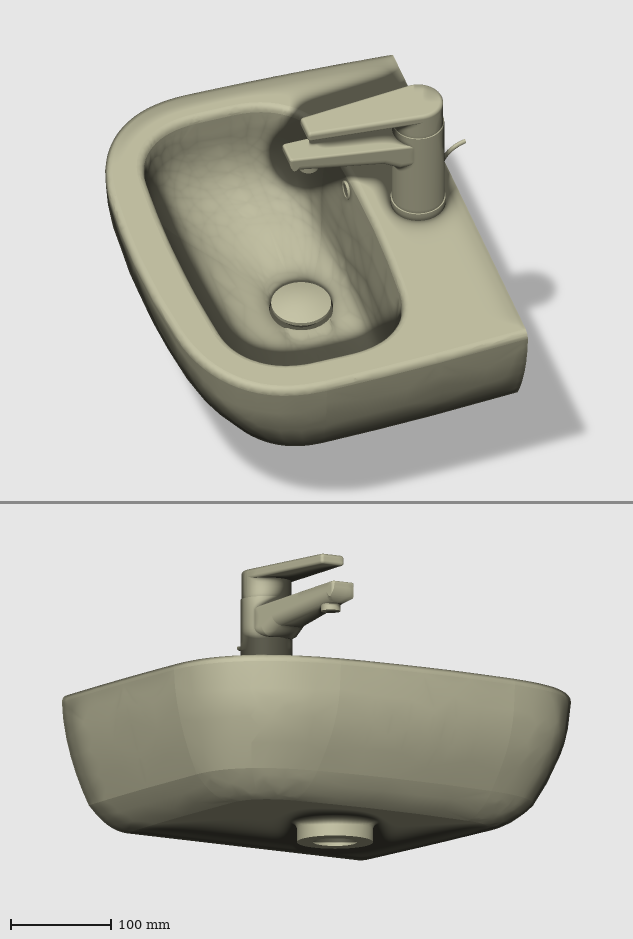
import cadquery as cq
import math


OUTER_UPPER = [
    (0, 225, 339.5),
    (-24.8, 223.5, 338.0),
    (-48.5, 218.5, 334.0),
    (-80.5, 207.5, 319.0),
    (-109.0, 193.0, 297),
]
OUTER_LOWER = [
    OUTER_UPPER[-1],
    (-123.8, 175.5, 280.0),
    (-131.0, 159.8, 264.0),
    (-132.8, 148.5, 254.2),
]
BASIN_BOTTOM = OUTER_LOWER[-1][0]
OUTER_SEAM_X = 104.5
FRONT_SAG = 6.0
SIDE_TAPER = 9.0
SIDE_BOW_RATIO = 0.3
SIDE_LENGTH = 214.0
SIDE_SHORTENING = 10.5
RIM_RADIUS = 7.0
CORNER_FULLNESS = 0.713

BOWL_SECTIONS = [
    (0, 185.5, 95.5, 297),
    (-27, 185.5, 98.5, 294.8),
    (-54, 182.5, 101.5, 285.8),
    (-81, 166.5, 106.5, 261),
    (-96.8, 135, 114.5, 234),
    (-106.0, 81, 132.5, 207),
    (-109.0, 31.5, 141.8, 190.5),
]
BOWL_FLOOR = BOWL_SECTIONS[-1][0]
BOWL_SEAM_RATIO = 0.62
BOWL_FLAT_RATIO = 0.18
BOWL_SAG_RATIO = 0.027

DRAIN_Y = -166.5
DRAIN_PIPE_DIA = 76.0
DRAIN_PIPE_BOTTOM = -152.5
DRAIN_PIPE_FILLET = 6.8
DRAIN_RECESS_DIA = 64.0
DRAIN_RECESS_DEPTH = 5.5
DRAIN_BORE_DIA = 44.0
STOPPER_DIA = 60.0
STOPPER_EDGE_Z = -101.2
STOPPER_EDGE_HEIGHT = 3.5
STOPPER_CROWN = 5.5
STOPPER_STEM_BOTTOM = -132.8

OVERFLOW_X = -59.5
OVERFLOW_Z = -20.2
OVERFLOW_FLANGE_DIA = 20.0
OVERFLOW_TUBE_DIA = 16.0
OVERFLOW_BORE_DIA = 15.0
OVERFLOW_FACE_Y = -101.0
OVERFLOW_FLANGE_BACK_Y = -96.0
OVERFLOW_TUBE_BACK_Y = -81

TAP_Y = -43.5
BASE_DIA = 55.0
BASE_HEIGHT = 9.0
BODY_DIA = 52.0
BODY_TOP = 110.2
HANDLE_DIA = 50.0
HANDLE_TOP = 139.5
LEVER_THICKNESS = 10.5
LEVER_END_Y = -163.5
LEVER_END_HALF_WIDTH = 13.5
LEVER_CORNER_RADIUS = 3.0
LEVER_UPPER_EDGE = 3.5
LEVER_LOWER_EDGE = 2.5

SPOUT_TOP_ROOT_Z = 98.5
SPOUT_TIP_Y = -182.5
SPOUT_TIP_Z = 109.5
SPOUT_ROOT_HALF_WIDTH = 24.0
SPOUT_TIP_HALF_WIDTH = 13.0
SPOUT_TIP_LOWER = (-182.2, 103.5)
SPOUT_NOSE = (-179.0, 94.5)
SPOUT_BELLY_FRONT = (-171, 89.0)
SPOUT_BELLY_BACK = (-86.0, 78.0)
SPOUT_ELBOW = (-69.5, 69.0)
SPOUT_CORNER_RADIUS = 3.5
SPOUT_BELLY_RADIUS = 10.0
SPOUT_BELLY_DEPTH = 6.8
SPOUT_TOP_EDGE = 2.2
AERATOR_DIA = 20.0
AERATOR_Y = -159.0
AERATOR_BOTTOM = 82.5
AERATOR_TOP = 92.2

ROD_DIA = 4.5
ROD_TIP = (6.0, 69.0)
ROD_BEND = (-11.0, 60.0)
ROD_END = (-21.0, 33.8)


def corner_middle(start, end, centre):
    """Point halfway round a rounded quarter that runs from start to end."""
    reach_x = abs(start[0] - centre[0]) + abs(end[0] - centre[0])
    reach_y = abs(start[1] - centre[1]) + abs(end[1] - centre[1])
    sign_x = math.copysign(1, start[0] + end[0] - 2 * centre[0])
    sign_y = math.copysign(1, start[1] + end[1] - 2 * centre[1])
    middle_x = centre[0] + sign_x * reach_x * CORNER_FULLNESS
    middle_y = centre[1] + sign_y * reach_y * CORNER_FULLNESS
    return (middle_x, middle_y)


def rounded_corner(outline, start, end, centre, tangents):
    """Continue the outline round one corner."""
    middle = corner_middle(start, end, centre)
    return outline.spline([start, middle, end], tangents=tangents)


def outer_section(level, half_width, front):
    """Closed outline of the basin's outside at one level."""
    side_length = SIDE_LENGTH - SIDE_SHORTENING * (level / BASIN_BOTTOM) ** 2
    back_x = half_width - SIDE_TAPER
    side_x = half_width - SIDE_BOW_RATIO * SIDE_TAPER
    corner_y = FRONT_SAG - front
    slope = 2 * FRONT_SAG / OUTER_SEAM_X
    right_side = (half_width, -side_length)
    right_front = (OUTER_SEAM_X, corner_y)
    left_front = (-OUTER_SEAM_X, corner_y)
    left_side = (-half_width, -side_length)
    outline = cq.Workplane("XY", origin=(0, 0, level)).moveTo(-back_x, 0).lineTo(back_x, 0)
    outline = outline.threePointArc((side_x, -side_length / 2), right_side)
    outline = rounded_corner(
        outline, right_side, right_front, (OUTER_SEAM_X, -side_length), [(0, -1), (-1, -slope)]
    )
    outline = outline.threePointArc((0, -front), left_front)
    outline = rounded_corner(
        outline, left_front, left_side, (-OUTER_SEAM_X, -side_length), [(-1, slope), (0, 1)]
    )
    return outline.threePointArc((-side_x, -side_length / 2), (-back_x, 0)).close().val()


def bowl_section(level, half_width, back, front):
    """Closed outline of the bowl at one level."""
    seam_x = BOWL_SEAM_RATIO * half_width
    sag = BOWL_SAG_RATIO * half_width
    slope = 2 * sag / seam_x
    middle_y = -(back + front) / 2
    flat = BOWL_FLAT_RATIO * (front - back) / 2
    back_y = -back - sag
    front_y = -front + sag
    outline = cq.Workplane("XY", origin=(0, 0, level)).moveTo(-seam_x, back_y)
    outline = outline.threePointArc((0, -back), (seam_x, back_y))
    outline = rounded_corner(
        outline, (seam_x, back_y), (half_width, middle_y + flat), (seam_x, middle_y + flat),
        [(1, -slope), (0, -1)],
    )
    outline = outline.lineTo(half_width, middle_y - flat)
    outline = rounded_corner(
        outline, (half_width, middle_y - flat), (seam_x, front_y), (seam_x, middle_y - flat),
        [(0, -1), (-1, -slope)],
    )
    outline = outline.threePointArc((0, -front), (-seam_x, front_y))
    outline = rounded_corner(
        outline, (-seam_x, front_y), (-half_width, middle_y - flat), (-seam_x, middle_y - flat),
        [(-1, slope), (0, 1)],
    )
    outline = outline.lineTo(-half_width, middle_y + flat)
    outline = rounded_corner(
        outline, (-half_width, middle_y + flat), (-seam_x, back_y), (-seam_x, middle_y + flat),
        [(0, 1), (1, slope)],
    )
    return outline.close().val()


def loft(sections):
    """Smooth solid through a stack of closed outlines."""
    return cq.Workplane(cq.Solid.makeLoft(sections))


def cylinder(diameter, y, bottom, top):
    """Upright cylinder on the X = 0 plane."""
    return cq.Workplane("XY", origin=(0, y, bottom)).circle(diameter / 2).extrude(top - bottom)


def wall_cylinder(diameter, front_y, back_y):
    """Cylinder through the back of the bowl, on the axis of the overflow."""
    plane = cq.Workplane("XZ", origin=(OVERFLOW_X, back_y, OVERFLOW_Z))
    return plane.circle(diameter / 2).extrude(back_y - front_y)


def make_overflow_ring():
    """Flanged sleeve set into the back of the bowl."""
    flange = wall_cylinder(OVERFLOW_FLANGE_DIA, OVERFLOW_FACE_Y, OVERFLOW_FLANGE_BACK_Y)
    tube = wall_cylinder(OVERFLOW_TUBE_DIA, OVERFLOW_FLANGE_BACK_Y, OVERFLOW_TUBE_BACK_Y)
    bore = wall_cylinder(OVERFLOW_BORE_DIA, OVERFLOW_FACE_Y, OVERFLOW_TUBE_BACK_Y)
    return flange.union(tube).cut(bore)


def make_basin(overflow_ring):
    """Basin with its bowl, drain pipe, and the seat of the overflow ring."""
    upper = loft([outer_section(*section) for section in OUTER_UPPER])
    lower = loft([outer_section(*section) for section in OUTER_LOWER])
    upper = upper.faces(">Z").edges("not >Y").fillet(RIM_RADIUS)
    pipe = cylinder(DRAIN_PIPE_DIA, DRAIN_Y, DRAIN_PIPE_BOTTOM, BASIN_BOTTOM)
    basin = upper.union(lower).union(pipe)
    pipe_root = (0, DRAIN_Y, BASIN_BOTTOM)
    basin = basin.edges(cq.NearestToPointSelector(pipe_root)).fillet(DRAIN_PIPE_FILLET)
    basin = basin.cut(loft([bowl_section(*section) for section in BOWL_SECTIONS]))
    bowl_back = (0, -BOWL_SECTIONS[0][2], 0)
    basin = basin.edges(cq.NearestToPointSelector(bowl_back)).fillet(RIM_RADIUS)
    recess = cylinder(DRAIN_RECESS_DIA, DRAIN_Y, BOWL_FLOOR - DRAIN_RECESS_DEPTH, STOPPER_EDGE_Z)
    bore = cylinder(DRAIN_BORE_DIA, DRAIN_Y, DRAIN_PIPE_BOTTOM, BOWL_FLOOR)
    return basin.cut(recess).cut(bore).cut(overflow_ring)


def make_stopper():
    """Domed head on a stem that fills the drain bore."""
    radius = STOPPER_DIA / 2
    underside = STOPPER_EDGE_Z - STOPPER_EDGE_HEIGHT
    crown_radius = (radius**2 + STOPPER_CROWN**2) / (2 * STOPPER_CROWN)
    middle_x = radius / 2
    middle_drop = crown_radius - math.sqrt(crown_radius**2 - middle_x**2)
    crown_z = STOPPER_EDGE_Z + STOPPER_CROWN
    profile = (
        cq.Workplane("XZ", origin=(0, DRAIN_Y, 0))
        .moveTo(0, STOPPER_STEM_BOTTOM)
        .lineTo(DRAIN_BORE_DIA / 2, STOPPER_STEM_BOTTOM)
        .lineTo(DRAIN_BORE_DIA / 2, underside)
        .lineTo(radius, underside)
        .lineTo(radius, STOPPER_EDGE_Z)
        .threePointArc((middle_x, crown_z - middle_drop), (0, crown_z))
        .close()
    )
    return profile.revolve(360, (0, 0, 0), (0, 1, 0))


def make_tap_base():
    """Round plate between the basin and the tap body."""
    return cylinder(BASE_DIA, TAP_Y, 0, BASE_HEIGHT)


def spout_top(y):
    """Height of the spout's sloping top face at a given Y."""
    return SPOUT_TOP_ROOT_Z + (SPOUT_TIP_Z - SPOUT_TOP_ROOT_Z) * (y - TAP_Y) / (SPOUT_TIP_Y - TAP_Y)


def is_under_spout(edge):
    """Tell the edges along the belly from those of the top face."""
    middle = edge.Center()
    return middle.z < spout_top(middle.y) - SPOUT_BELLY_DEPTH


def make_spout():
    """Tapered spout: side profile trimmed to its plan shape, with a rounded belly."""
    belly = (
        cq.Workplane("YZ")
        .moveTo(TAP_Y, SPOUT_TOP_ROOT_Z)
        .lineTo(SPOUT_TIP_Y, SPOUT_TIP_Z)
        .lineTo(*SPOUT_TIP_LOWER)
        .threePointArc(SPOUT_NOSE, SPOUT_BELLY_FRONT)
        .lineTo(*SPOUT_BELLY_BACK)
        .lineTo(*SPOUT_ELBOW)
        .lineTo(TAP_Y, SPOUT_ELBOW[1])
        .close()
        .extrude(SPOUT_ROOT_HALF_WIDTH, both=True)
    )
    plan = (
        cq.Workplane("XY")
        .polyline([
            (-SPOUT_ROOT_HALF_WIDTH, TAP_Y),
            (SPOUT_ROOT_HALF_WIDTH, TAP_Y),
            (SPOUT_TIP_HALF_WIDTH, SPOUT_TIP_Y),
            (-SPOUT_TIP_HALF_WIDTH, SPOUT_TIP_Y),
        ])
        .close()
        .extrude(HANDLE_TOP)
        .edges("|Z and <Y")
        .fillet(SPOUT_CORNER_RADIUS)
    )
    spout = belly.intersect(plan)
    long_edges = spout.edges("%LINE").edges("not |X").edges("not |Z")
    spout = long_edges.filter(is_under_spout).fillet(SPOUT_BELLY_RADIUS)
    upward = cq.Vector(0, SPOUT_TIP_Z - SPOUT_TOP_ROOT_Z, TAP_Y - SPOUT_TIP_Y)
    top_face = spout.faces(cq.DirectionMinMaxSelector(upward))
    return top_face.edges("not >Y").fillet(SPOUT_TOP_EDGE)


def make_aerator():
    """Round outlet let into the underside of the spout."""
    return cylinder(AERATOR_DIA, AERATOR_Y, AERATOR_BOTTOM, AERATOR_TOP)


def make_pull_rod():
    """Thin rod that rises out of the tap body and bends back towards the wall."""
    path = cq.Workplane("YZ").moveTo(*ROD_TIP).threePointArc(ROD_BEND, ROD_END)
    start = cq.Workplane("XZ", origin=(0, ROD_TIP[0], ROD_TIP[1]))
    return start.circle(ROD_DIA / 2).sweep(path)


def make_tap_body(aerator, pull_rod):
    """Upright barrel with the spout, and seats for the aerator and the rod."""
    barrel = cylinder(BODY_DIA, TAP_Y, BASE_HEIGHT, BODY_TOP)
    return barrel.union(make_spout()).cut(aerator).cut(pull_rod)


def make_handle():
    """Round cap that carries a tapered lever, flush with its top."""
    radius = HANDLE_DIA / 2
    cap = cylinder(HANDLE_DIA, TAP_Y, BODY_TOP, HANDLE_TOP)
    lean = math.asin((radius - LEVER_END_HALF_WIDTH) / (TAP_Y - LEVER_END_Y))
    side_x = radius * math.cos(lean)
    side_y = TAP_Y - radius * math.sin(lean)
    lever = (
        cq.Workplane("XY", origin=(0, 0, HANDLE_TOP - LEVER_THICKNESS))
        .moveTo(-side_x, side_y)
        .threePointArc((0, TAP_Y + radius), (side_x, side_y))
        .lineTo(LEVER_END_HALF_WIDTH, LEVER_END_Y)
        .lineTo(-LEVER_END_HALF_WIDTH, LEVER_END_Y)
        .close()
        .extrude(LEVER_THICKNESS)
    )
    lever = lever.edges("|Z and <Y").fillet(LEVER_CORNER_RADIUS)
    lever = lever.faces("<Z").edges().fillet(LEVER_LOWER_EDGE)
    return cap.union(lever).faces(">Z").edges().fillet(LEVER_UPPER_EDGE)


overflow_ring = make_overflow_ring()
basin = make_basin(overflow_ring)
stopper = make_stopper()
tap_base = make_tap_base()
aerator = make_aerator()
pull_rod = make_pull_rod()
tap_body = make_tap_body(aerator, pull_rod)
handle = make_handle()

result = cq.Compound.makeCompound([
    basin.val(),
    overflow_ring.val(),
    stopper.val(),
    tap_base.val(),
    tap_body.val(),
    aerator.val(),
    pull_rod.val(),
    handle.val(),
])